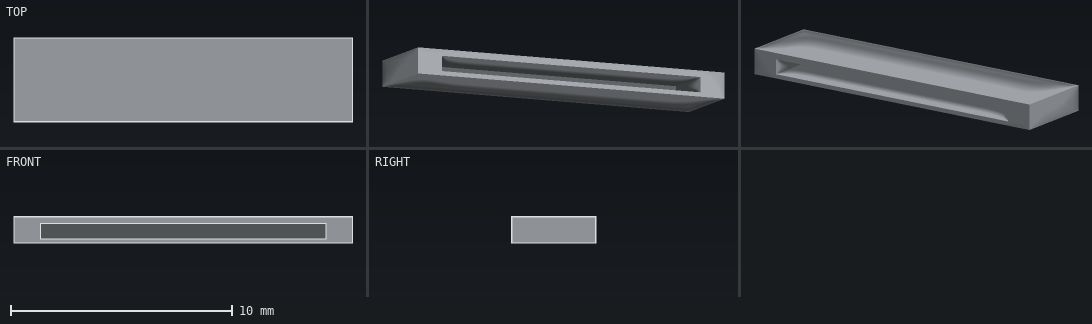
import cadquery as cq

length = 15.3
depth = 3.8
height = 1.2

slot_end_wall = 1.2
slot_floor_wall = 0.2
slot_roof_wall = 0.3
slot_back_wall = 1.2

slot_length = length - 2 * slot_end_wall
slot_height = height - slot_floor_wall - slot_roof_wall
slot_depth = depth - slot_back_wall


def make_block():
    """Plain block centred on X and Y, standing on Z = 0."""
    return cq.Workplane("XY").box(length, depth, height, centered=(True, True, False))


def make_slot():
    """Blind rectangular slot that opens on the front face."""
    return (
        cq.Workplane("XY")
        .box(slot_length, slot_depth, slot_height, centered=(True, False, False))
        .translate((0, -depth / 2, slot_floor_wall))
    )


result = make_block().cut(make_slot())